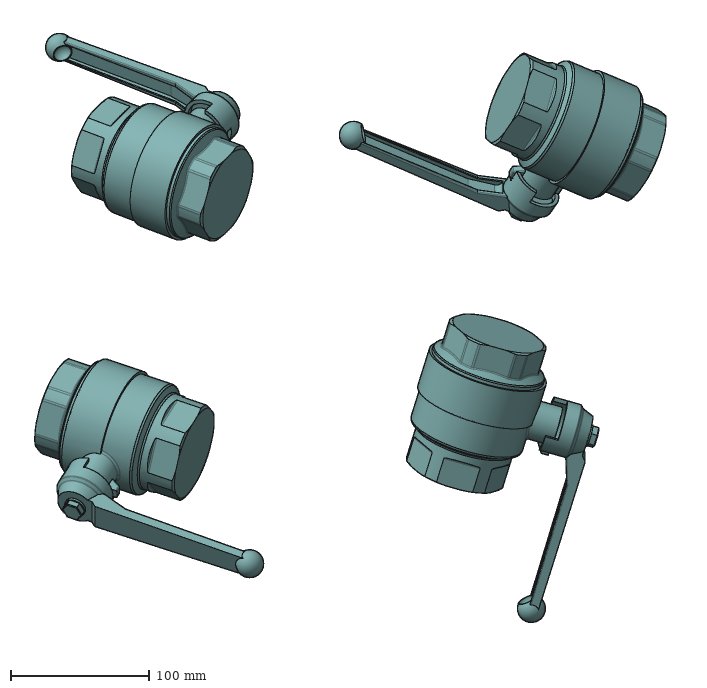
import cadquery as cq
import math


OVERSHOOT = 2.0
EDGE_MARGIN = 0.2

SHOULDER_RADIUS = 44.2
SHOULDER_END = 29.5
BARREL_RADIUS = 42.2
END_HALF_LENGTH = 55.6
END_RADIUS = 36.5
FLAT_DISTANCE = 33.8
FLAT_COUNT = 6
FLAT_STEP = 360 / FLAT_COUNT
EDGE_CHAMFER_LENGTH = 1.0
EDGE_CHAMFER_DEPTH = 2.2

NECK_START = -28.7
NECK_FOOT = -27.3
NECK_FOOT_RISE = 0.6
INLET_SLOPE_END = -25.0
INLET_BARREL_START = -23.5
BARREL_EDGE_DROP = 0.6
FLAT_END = -35.2
FLAT_RAMP_END = -34.0
FLAT_RAMP_FILLET = 1.2
FLAT_CUT_HALF_WIDTH = 18.3

COLLAR_END = 32.0
OUTLET_SLOPE_START = 33.0
OUTLET_SLOPE_END = 37.5
OUTLET_SLOPE_FOOT_RADIUS = 32.2
OUTLET_EDGE_FILLET = 4.0
OUTLET_ROOT_FILLET = 1.0

STEM_RADIUS = 14.5
STEM_TOP = 60.7
STEM_ROOT = 30.5
STEM_ROOT_FILLET = 1.6
LUG_REACH = 22.0
LUG_HALF_WIDTH = 3.7
LUG_NOSE_BOTTOM = 55.5
LUG_ROOT_BOTTOM = 41.8
LUG_FILLET = 1.0

HUB_RADIUS = 20.0
HUB_BOTTOM = 63.0
HUB_TOP = 73.5
CONE_BASE = 75.8
CONE_BASE_RADIUS = 17.5
CONE_TOP = 84.0
CONE_TOP_RADIUS = 14.3
HUB_EDGE_FILLET = 0.8
HUB_CAVITY_TOP = 67.2
SKIRT_BOTTOM = 53.4
SKIRT_INNER_RADIUS = 17.0
SKIRT_GAP = LUG_HALF_WIDTH

WASHER_RADIUS = 8.0
WASHER_TOP = 85.8
BOLT_ACROSS_CORNERS = 15.7
BOLT_TOP = 90.7
BOLT_CHAMFER = 0.6

ARM_START_X = -135.5
ARM_TOP = 87.2
ARM_TIP_BOTTOM = 80.0
ARM_BEND_X = -37.7
ARM_BEND_BOTTOM = 79.5
ARM_ROOT_BOTTOM = 66.8
ARM_TOP_DROP_X = -16.7
ARM_TOP_END_X = -12.8
ARM_TIP_HALF_WIDTH = 8.5
ARM_ROOT_HALF_WIDTH = 11.0
ARM_EDGE_FILLET = 0.8
CHANNEL_HALF_WIDTH = 6.5
CHANNEL_FLOOR = 83.3
CHANNEL_BEND_X = -43.8
CHANNEL_END_X = -20.2
CHANNEL_END_RADIUS = 4.9
CHANNEL_END_FLOOR = 78.2
CHANNEL_LIP_CHAMFER = 0.6

KNOB_RADIUS = 10.2
KNOB_X = -138.0
KNOB_Y = 82.7
KNOB_CUT_OFFSET = 7.3
KNOB_CUT_ANGLE = -41.0
DISH_RADIUS = 6.5


def cylinder_along_y(radius, bottom, top):
    """Solid cylinder about the stem axis."""
    return cq.Workplane("XZ", origin=(0, bottom, 0)).circle(radius).extrude(bottom - top)


def lathe_body():
    """Round form of the valve from the inlet face to the outlet slope."""
    rim_radius = END_RADIUS - EDGE_CHAMFER_DEPTH
    profile = [
        (-END_HALF_LENGTH, 0),
        (-END_HALF_LENGTH, rim_radius),
        (-END_HALF_LENGTH + EDGE_CHAMFER_LENGTH, END_RADIUS),
        (NECK_START, END_RADIUS),
        (NECK_FOOT, END_RADIUS + NECK_FOOT_RISE),
        (INLET_SLOPE_END, BARREL_RADIUS - BARREL_EDGE_DROP),
        (INLET_BARREL_START, BARREL_RADIUS),
        (0, BARREL_RADIUS),
        (0, SHOULDER_RADIUS),
        (SHOULDER_END, SHOULDER_RADIUS),
        (SHOULDER_END, BARREL_RADIUS),
        (COLLAR_END, BARREL_RADIUS),
        (OUTLET_SLOPE_START, BARREL_RADIUS - BARREL_EDGE_DROP),
        (OUTLET_SLOPE_END, OUTLET_SLOPE_FOOT_RADIUS),
        (OUTLET_SLOPE_END, 0),
    ]
    return cq.Workplane("XY").polyline(profile).close().revolve(360, (0, 0, 0), (1, 0, 0))


def inlet_flat_cutters():
    """Material to remove for the wrench flats on the inlet end."""
    outside = END_RADIUS + OVERSHOOT
    ramp_rise = END_RADIUS - FLAT_DISTANCE
    ramp_slope = (FLAT_RAMP_END - FLAT_END) / ramp_rise
    cutter = (
        cq.Workplane("XZ")
        .moveTo(-END_HALF_LENGTH - OVERSHOOT, FLAT_DISTANCE)
        .lineTo(FLAT_END, FLAT_DISTANCE)
        .lineTo(FLAT_END + ramp_slope * (outside - FLAT_DISTANCE), outside)
        .lineTo(-END_HALF_LENGTH - OVERSHOOT, outside)
        .close()
        .extrude(FLAT_CUT_HALF_WIDTH, both=True)
    )
    ramp_foot = cq.selectors.NearestToPointSelector((FLAT_END, 0, FLAT_DISTANCE))
    cutter = cutter.edges(ramp_foot).fillet(FLAT_RAMP_FILLET)
    return [cutter.rotate((0, 0, 0), (1, 0, 0), FLAT_STEP * i) for i in range(FLAT_COUNT)]


def outlet_end():
    """Round bar with six flats, softened edges and a chamfered rim."""
    flat_corner_diameter = 2 * FLAT_DISTANCE / math.cos(math.pi / FLAT_COUNT)
    bar = cq.Workplane("YZ").circle(END_RADIUS).extrude(END_HALF_LENGTH)
    hexagon = cq.Workplane("YZ").polygon(FLAT_COUNT, flat_corner_diameter).extrude(END_HALF_LENGTH)
    end = bar.intersect(hexagon).edges("|X").fillet(OUTLET_EDGE_FILLET)
    rim_radius = END_RADIUS - EDGE_CHAMFER_DEPTH
    envelope = [
        (0, 0),
        (0, END_RADIUS),
        (END_HALF_LENGTH - EDGE_CHAMFER_LENGTH, END_RADIUS),
        (END_HALF_LENGTH, rim_radius),
        (END_HALF_LENGTH, 0),
    ]
    return end.intersect(
        cq.Workplane("XY").polyline(envelope).close().revolve(360, (0, 0, 0), (1, 0, 0))
    )


def stem_neck():
    """Stem neck with a small fillet where it rises from the barrel."""
    barrel = cq.Workplane("YZ").circle(BARREL_RADIUS).extrude(-INLET_BARREL_START)
    barrel = barrel.union(barrel.mirror("YZ"))
    neck = barrel.union(cylinder_along_y(STEM_RADIUS, STEM_ROOT, STEM_TOP))
    neck_root = cq.selectors.BoxSelector(
        (-STEM_RADIUS - OVERSHOOT, STEM_ROOT, -STEM_RADIUS - OVERSHOOT),
        (STEM_RADIUS + OVERSHOOT, STEM_TOP - OVERSHOOT, STEM_RADIUS + OVERSHOOT),
    )
    return neck.edges(neck_root).edges("not |Y").fillet(STEM_ROOT_FILLET)


def stop_lug():
    """Lug on the -X side of the stem neck, sloping in underneath."""
    outline = [
        (0, STEM_TOP),
        (-LUG_REACH, STEM_TOP),
        (-LUG_REACH, LUG_NOSE_BOTTOM),
        (0, LUG_ROOT_BOTTOM),
    ]
    lug = cq.Workplane("XY").polyline(outline).close().extrude(LUG_HALF_WIDTH, both=True)
    return lug.edges("not (>Y or >X)").fillet(LUG_FILLET)


def build_valve():
    """Closed valve body with its stem neck, as one solid."""
    valve = lathe_body()
    for cutter in inlet_flat_cutters():
        valve = valve.cut(cutter)
    valve = valve.union(outlet_end())
    outlet_root = cq.selectors.BoxSelector(
        (OUTLET_SLOPE_START + EDGE_MARGIN, -END_RADIUS - OVERSHOOT, -END_RADIUS - OVERSHOOT),
        (OUTLET_SLOPE_END, END_RADIUS + OVERSHOOT, END_RADIUS + OVERSHOOT),
    )
    valve = valve.edges(outlet_root).fillet(OUTLET_ROOT_FILLET)
    valve = valve.union(stem_neck())
    return valve.union(stop_lug())


def hub():
    """Turned hub: straight band, chamfer and cone."""
    profile = [
        (0, HUB_BOTTOM),
        (HUB_RADIUS, HUB_BOTTOM),
        (HUB_RADIUS, HUB_TOP),
        (CONE_BASE_RADIUS, CONE_BASE),
        (CONE_TOP_RADIUS, CONE_TOP),
        (0, CONE_TOP),
    ]
    turned = cq.Workplane("XY").polyline(profile).close().revolve(360, (0, 0, 0), (0, 1, 0))
    chamfer_band = cq.selectors.BoxSelector(
        (-HUB_RADIUS - OVERSHOOT, HUB_TOP - EDGE_MARGIN, -HUB_RADIUS - OVERSHOOT),
        (HUB_RADIUS + OVERSHOOT, CONE_BASE + EDGE_MARGIN, HUB_RADIUS + OVERSHOOT),
    )
    return turned.edges("%CIRCLE").edges(chamfer_band).fillet(HUB_EDGE_FILLET)


def skirt_legs():
    """Two opposite quarter-ring legs that stop the lever against the lug."""
    ring = cylinder_along_y(HUB_RADIUS, SKIRT_BOTTOM, HUB_BOTTOM)
    ring = ring.cut(cylinder_along_y(SKIRT_INNER_RADIUS, SKIRT_BOTTOM, HUB_BOTTOM))
    quarter = cq.Workplane("XY").box(
        HUB_RADIUS, HUB_BOTTOM - SKIRT_BOTTOM, HUB_RADIUS, centered=False
    )
    legs = []
    for turn in (0, 180):
        corner = quarter.translate((SKIRT_GAP, SKIRT_BOTTOM, SKIRT_GAP))
        legs.append(ring.intersect(corner.rotate((0, 0, 0), (0, 1, 0), turn)))
    return legs


def bolt():
    """Hexagon head on a round washer face."""
    washer = cylinder_along_y(WASHER_RADIUS, CONE_TOP, WASHER_TOP)
    head = (
        cq.Workplane("XZ", origin=(0, WASHER_TOP, 0))
        .polygon(FLAT_COUNT, BOLT_ACROSS_CORNERS)
        .extrude(WASHER_TOP - BOLT_TOP)
        .faces(">Y")
        .chamfer(BOLT_CHAMFER)
    )
    return washer.union(head)


def arm():
    """Cranked arm, widening towards the hub, with a channel underneath."""
    side_outline = [
        (ARM_START_X, ARM_TOP),
        (ARM_TOP_DROP_X, ARM_TOP),
        (ARM_TOP_END_X, CONE_TOP),
        (0, CONE_TOP),
        (0, ARM_ROOT_BOTTOM),
        (ARM_BEND_X, ARM_BEND_BOTTOM),
        (ARM_START_X, ARM_TIP_BOTTOM),
    ]
    plan_outline = [
        (ARM_START_X, -ARM_TIP_HALF_WIDTH),
        (ARM_START_X, ARM_TIP_HALF_WIDTH),
        (0, ARM_ROOT_HALF_WIDTH),
        (0, -ARM_ROOT_HALF_WIDTH),
    ]
    side = cq.Workplane("XY").polyline(side_outline).close().extrude(HUB_RADIUS, both=True)
    plan = cq.Workplane("XZ").polyline(plan_outline).close().extrude(-ARM_TOP - OVERSHOOT)
    return side.intersect(plan)


def channel():
    """Channel cut into the underside of the arm, its floor following the crank."""
    outline = [
        (ARM_START_X, CHANNEL_FLOOR),
        (CHANNEL_BEND_X, CHANNEL_FLOOR),
        (CHANNEL_END_X, CHANNEL_END_FLOOR),
        (CHANNEL_END_X, SKIRT_BOTTOM),
        (ARM_START_X, SKIRT_BOTTOM),
    ]
    cutter = cq.Workplane("XY").polyline(outline).close().extrude(CHANNEL_HALF_WIDTH, both=True)
    end_corner = cq.selectors.NearestToPointSelector((CHANNEL_END_X, CHANNEL_END_FLOOR, 0))
    return cutter.edges(end_corner).fillet(CHANNEL_END_RADIUS)


def underside_edges(half_width, inner_x):
    """Selector for the arm's lower edges within a half width, out from inner_x."""
    return cq.selectors.BoxSelector(
        (ARM_START_X, ARM_ROOT_BOTTOM, -half_width), (inner_x, ARM_TIP_BOTTOM, half_width)
    )


def channelled_arm():
    """Arm with its channel, the long underside edges rounded."""
    outer_edges = underside_edges(ARM_ROOT_HALF_WIDTH, 0)
    rounded = arm().edges(outer_edges).edges("not |Z").fillet(ARM_EDGE_FILLET)
    lip_edges = underside_edges(CHANNEL_HALF_WIDTH + EDGE_MARGIN, CHANNEL_END_X)
    cut_arm = rounded.cut(channel())
    return cut_arm.edges(lip_edges).edges("%LINE and (not |Z)").chamfer(CHANNEL_LIP_CHAMFER)


def build_lever():
    """Lever with its knob, hub, stop legs and bolt, as one solid."""
    knob_centre = cq.Vector(KNOB_X, KNOB_Y, 0)
    cut_angle = math.radians(KNOB_CUT_ANGLE)
    cut_normal = cq.Vector(math.cos(cut_angle), math.sin(cut_angle), 0)
    cut_centre = knob_centre + cut_normal * KNOB_CUT_OFFSET
    cut_plane = cq.Plane(origin=cut_centre.toTuple(), normal=cut_normal.toTuple())

    knob = cq.Workplane("XY").sphere(KNOB_RADIUS).translate(knob_centre.toTuple())
    cut_block = cq.Workplane(cut_plane).circle(KNOB_RADIUS).extrude(KNOB_RADIUS)
    dish = cq.Workplane("XY").sphere(DISH_RADIUS).translate(cut_centre.toTuple())

    lever = channelled_arm().union(knob.cut(cut_block)).cut(dish)
    lever = lever.union(hub())
    lever = lever.cut(cylinder_along_y(SKIRT_INNER_RADIUS, HUB_BOTTOM, HUB_CAVITY_TOP))
    for leg in skirt_legs():
        lever = lever.union(leg)
    return lever.union(bolt())


valve = build_valve()
lever = build_lever()
result = cq.Compound.makeCompound([valve.solids().val(), lever.solids().val()])